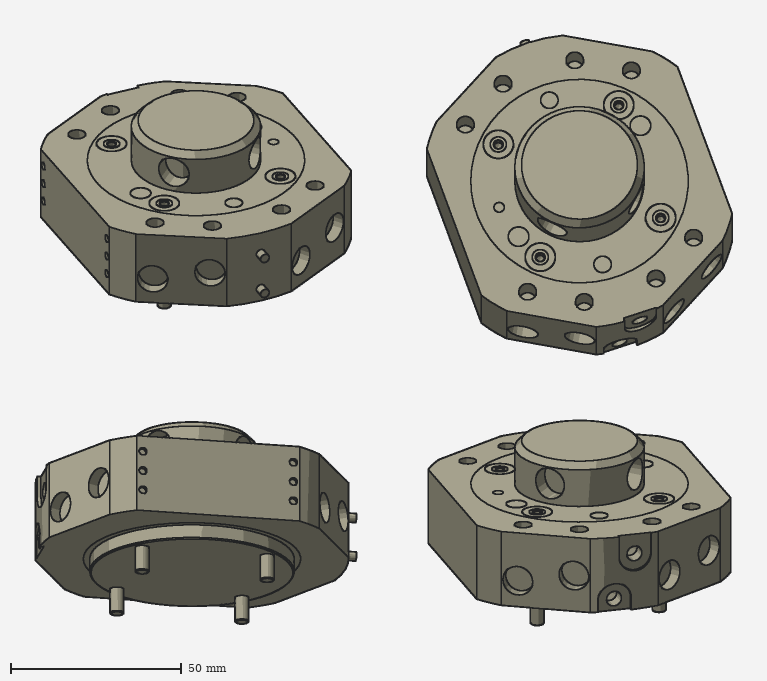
import cadquery as cq
import math

housing_height = 23.2
boss_height = 13.5
flange_height = 4.3
screw_protrusion = 7.6
flange_bottom_z = -housing_height - flange_height

housing_radius = 46.0
housing_width = 78.0
front_flat_distance = housing_width / 2
front_flat_angle = 270
pad_side_angle = 180
angled_flat_distance = 44.0
angled_flat_angles = (30, 150, 210, 330)
port_offset = 8.5
mounting_hole_distance = 37.0
mounting_hole_radius = 2.6
mounting_hole_depth = 7.6
housing_port_radius = 4.5
housing_port_depth = 3.7
low_port_z = -15.0
high_port_z = -12.0

dot_radius = 1.1
dot_depth = 1.4
dots_per_column = 3
dot_x = 22.5
dot_pitch = 6.0
left_dot_top_z = -4.75
right_dot_top_z = -5.0

pad_distance = 44.8
pad_radius = 5.0
pad_offset = 3.1
upper_pad_z = -6.1
lower_pad_z = -19.6
pad_hole_radius = 2.3
pad_hole_depth = 4.75
drill_point_angle = 118

hub_radius = 31.9
flange_radius = 30.0
flange_chamfer = 0.4
boss_radius = 19.0
boss_chamfer = 2.0
boss_port_radius = 4.75
boss_port_floor_radius = 13.6
boss_port_z = 6.4
boss_port_angles = (45, 135, 225, 315)

mark_depth = 0.1
large_mark_radius = 3.0
large_mark_centers = [(-10.5, 22.6), (10.5, -22.6)]
small_mark_radius = 2.6
small_mark_centers = [(-26.9, 2.2), (26.9, 0)]

screw_offset = 18.7
screw_centers = [
    (x, y) for x in (-screw_offset, screw_offset) for y in (-screw_offset, screw_offset)
]
screw_head_radius = 4.4
counterbore_radius = 4.5
screw_head_height = 5.7
screw_shank_radius = 4.1 / 2
screw_tip_chamfer = 0.3
socket_rim_radius = 2.4
socket_rim_depth = 0.1
socket_radius = 1.2
socket_chamfer = 0.2
socket_depth = 1.9

overall_length = 95.0
stop_pin_end = overall_length - housing_radius
stop_pin_radius = 2.8 / 2
stop_pin_embedded = 5.7
stop_pin_heights = (-7.0, -19.0)
dowel_radius = 1.5
dowel_length = 5.7
dowel_center = (0, 25.0)


def cylinder_up(center, bottom, radius, height):
    """Vertical cylinder standing on the level `bottom`."""
    return cq.Workplane("XY", origin=(*center, bottom)).circle(radius).extrude(height)


def cylinder_down(center, top, radius, depth):
    """Vertical cylinder hanging down from the level `top`."""
    return cylinder_up(center, top - depth, radius, depth)


def radial_plane(angle, distance, z):
    """Workplane facing outward at `angle`; its x runs counterclockwise and its y runs up."""
    direction = math.radians(angle)
    normal = (math.cos(direction), math.sin(direction), 0)
    tangent = (-math.sin(direction), math.cos(direction), 0)
    origin = (distance * normal[0], distance * normal[1], z)
    return cq.Workplane(cq.Plane(origin=origin, xDir=tangent, normal=normal))


def drilled_hole(axis_plane, radius, depth):
    """Round hole into a workplane, ending in a drill point."""
    point_height = radius / math.tan(math.radians(drill_point_angle / 2))
    straight = axis_plane.circle(radius).extrude(-depth)
    cone = cq.Solid.makeCone(
        radius, 0, point_height, axis_plane.plane.toWorldCoords((0, 0, -depth)), -axis_plane.plane.zDir
    )
    return straight.union(cq.Workplane(cone))


def housing_blank():
    """Round block with two wide flats and four angled flats."""
    blank = cylinder_down((0, 0), 0, housing_radius, housing_height)
    wide = cq.Workplane("XY").rect(2 * housing_radius, housing_width).extrude(-housing_height)
    blank = blank.intersect(wide)
    for angle in angled_flat_angles:
        outside = radial_plane(angle, angled_flat_distance, 0)
        blank = blank.cut(outside.rect(2 * housing_radius, 2 * housing_height).extrude(housing_radius))
    return blank


def cut_flat_ports(body):
    """Two side ports and two mounting holes in the top face on each angled flat."""
    for angle in angled_flat_angles:
        for side, port_z in ((-port_offset, low_port_z), (port_offset, high_port_z)):
            face = radial_plane(angle, angled_flat_distance, port_z)
            body = body.cut(face.center(side, 0).circle(housing_port_radius).extrude(-housing_port_depth))
            spot = radial_plane(angle, mounting_hole_distance, 0).plane.toWorldCoords((side, 0))
            body = body.cut(cylinder_down((spot.x, spot.y), 0, mounting_hole_radius, mounting_hole_depth))
    return body


def cut_dots(body):
    """Column of three shallow round dimples near each end of the front flat."""
    for x, top_z in ((-dot_x, left_dot_top_z), (dot_x, right_dot_top_z)):
        for row in range(dots_per_column):
            face = radial_plane(front_flat_angle, front_flat_distance, top_z - row * dot_pitch)
            body = body.cut(face.center(x, 0).circle(dot_radius).extrude(-dot_depth))
    return body


def cut_pads(body):
    """Two U-shaped flat pads on the -X side, each with a drilled hole, open to the top and bottom."""
    pads = (
        (pad_offset, upper_pad_z, 0),
        (-pad_offset, lower_pad_z, -housing_height),
    )
    for side, z, edge_z in pads:
        face = radial_plane(pad_side_angle, pad_distance, z).center(side, 0)
        length = edge_z - z
        body = body.cut(face.circle(pad_radius).extrude(pad_radius))
        body = body.cut(face.center(0, length / 2).rect(2 * pad_radius, abs(length)).extrude(pad_radius))
        body = body.cut(drilled_hole(face, pad_hole_radius, pad_hole_depth))
    return body


def stop_pin(z):
    """Pin along X that sits in the housing wall and sticks out of it."""
    start = housing_radius - stop_pin_embedded
    return cq.Workplane("YZ", origin=(start, 0, z)).circle(stop_pin_radius).extrude(stop_pin_end - start)


def make_housing():
    """Outer ring that carries the hub, the side ports and the stop pins."""
    body = housing_blank()
    body = body.cut(cylinder_down((0, 0), 0, hub_radius, housing_height))
    body = cut_flat_ports(body)
    body = cut_dots(body)
    body = cut_pads(body)
    for z in stop_pin_heights:
        body = body.cut(stop_pin(z))
    return body


def make_screw(center):
    """Socket screw with a flush head that passes through the hub and sticks out below it."""
    shank_length = -flange_bottom_z + screw_protrusion
    shank = cylinder_down(center, 0, screw_shank_radius, shank_length)
    shank = shank.faces("<Z").chamfer(screw_tip_chamfer)
    head = cylinder_down(center, 0, screw_head_radius, screw_head_height)
    screw = head.union(shank)
    screw = screw.cut(cylinder_down(center, 0, socket_rim_radius, socket_rim_depth))
    top = cq.Workplane("XY", origin=(*center, 0))
    screw = screw.cut(drilled_hole(top, socket_radius, socket_depth))
    mouth = cq.Solid.makeCone(
        socket_radius + socket_chamfer,
        socket_radius,
        socket_chamfer,
        cq.Vector(*center, -socket_rim_depth),
        cq.Vector(0, 0, -1),
    )
    return screw.cut(cq.Workplane(mouth))


def make_dowel():
    """Small pin set flush into the top of the hub."""
    return cylinder_down(dowel_center, 0, dowel_radius, dowel_length)


def cut_boss_ports(body):
    """Radial ports in the boss, each ending on a cylinder concentric with it."""
    port_floor = cylinder_up((0, 0), 0, boss_port_floor_radius, boss_height)
    for angle in boss_port_angles:
        axis = radial_plane(angle, 0, boss_port_z)
        port = axis.circle(boss_port_radius).extrude(boss_radius + boss_port_radius)
        body = body.cut(port.cut(port_floor))
    return body


def cut_marks(body):
    """Shallow round marks in the top face around the boss."""
    for center in large_mark_centers:
        body = body.cut(cylinder_down(center, 0, large_mark_radius, mark_depth))
    for center in small_mark_centers:
        body = body.cut(cylinder_down(center, 0, small_mark_radius, mark_depth))
    return body


def cut_screw_holes(body):
    """Counterbored through holes for the screws."""
    for center in screw_centers:
        body = body.cut(cylinder_down(center, 0, counterbore_radius, screw_head_height))
        body = body.cut(cylinder_down(center, 0, screw_shank_radius, -flange_bottom_z))
    return body


def make_hub():
    """Core filling the housing bore, with the ported boss above and the flange below."""
    core = cylinder_down((0, 0), 0, hub_radius, housing_height)
    boss = cylinder_up((0, 0), 0, boss_radius, boss_height).faces(">Z").chamfer(boss_chamfer)
    flange = cylinder_up((0, 0), flange_bottom_z, flange_radius, flange_height)
    flange = flange.faces("<Z").chamfer(flange_chamfer)
    body = core.union(boss).union(flange)
    body = cut_boss_ports(body)
    body = cut_marks(body)
    body = cut_screw_holes(body)
    return body.cut(make_dowel())


housing = make_housing()
hub = make_hub()
screws = [make_screw(center) for center in screw_centers]
stop_pins = [stop_pin(z) for z in stop_pin_heights]
dowel = make_dowel()

result = cq.Compound.makeCompound(
    [
        housing.val(),
        hub.val(),
        *[screw.val() for screw in screws],
        *[pin.val() for pin in stop_pins],
        dowel.val(),
    ]
)